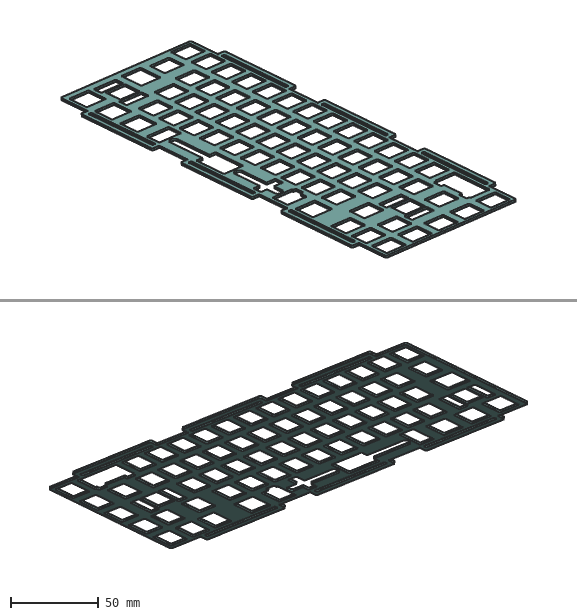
import cadquery as cq

COLUMNS = 16
ROWS = 5
LENGTH = 304.8
PITCH = LENGTH / COLUMNS
DEPTH = ROWS * PITCH
THICKNESS = 1.5
TILT_DEGREES = 7.0
CORNER_RADIUS = 1.0

TAB_LENGTH = 67.0
TAB_SPACING = 93.5
TAB_CENTERS = [-TAB_SPACING, 0, TAB_SPACING]
TAB_SLOT_LENGTH = 60.0
TAB_SLOT_WIDTH = 2.0
TAB_RAIL_WIDTH = 3.0
TAB_REACH = TAB_SLOT_WIDTH + TAB_RAIL_WIDTH

SWITCH_MARGIN = 2.53
SWITCH = PITCH - 2 * SWITCH_MARGIN
OPENING_RADIUS = 0.5
STABILIZER_WIDTH = 7.0
STABILIZER_OVERHANG = 2.0
STABILIZER_HEIGHT = SWITCH + STABILIZER_OVERHANG
STABILIZER_OFFSET = 12.0

SPACE_SLOT_WIDTH = 5.2
SPACE_SLOTS = [(-61.3, -6.0), (-0.5, 42.0)]
SPACE_ROW_INDEX = ROWS - 1

NUMBER_ROW = [column + 0.5 for column in range(13)] + [(13.5, 14.5), 15.5]
TAB_ROW = [0.75] + [column + 2.0 for column in range(12)] + [14.25, 15.5]
HOME_ROW = [(0.625, 0.875)] + [column + 2.25 for column in range(11)] + [13.875, 15.5]
SHIFT_ROW = [1.125] + [column + 2.75 for column in range(10)] + [13.125, 14.5, 15.5]
SPACE_KEY = (6.875, 7.5)
SPACE_ROW = [
    (0.625, 0.75),
    (1.875, 2.0),
    (3.125, 3.25),
    SPACE_KEY,
    10.625,
    (11.75, 11.875),
    13.5,
    14.5,
    15.5,
]
KEY_ROWS = [NUMBER_ROW, TAB_ROW, HOME_ROW, SHIFT_ROW, SPACE_ROW]

STABILIZED_KEYS = [(0, 14.0), (2, 13.875), (3, 1.125)]

SPACE_STABILIZERS = [(4.25, 4.5), 9.5, 10.5]


def key_x(column):
    return column * PITCH - LENGTH / 2


def row_y(row):
    return ((ROWS - 1) / 2 - row) * PITCH


def opening_block(x_min, x_max, y_min, y_max):
    """Full-thickness opening with rounded corners between the given plan limits."""
    plan = cq.Workplane("XY").center((x_min + x_max) / 2, (y_min + y_max) / 2)
    blank = plan.rect(x_max - x_min, y_max - y_min).extrude(THICKNESS)
    return blank.edges("|Z").fillet(OPENING_RADIUS)


def key_block(key, width, y_min, y_max):
    """Opening of the given width, stretched to cover every centre in the key's range."""
    first, last = key if isinstance(key, tuple) else (key, key)
    return opening_block(key_x(first) - width / 2, key_x(last) + width / 2, y_min, y_max)


def space_slot(x_min, x_max):
    """Round-ended slot along the middle of the space bar row."""
    length = x_max - x_min
    return (
        cq.Workplane("XY")
        .center((x_min + x_max) / 2, row_y(SPACE_ROW_INDEX))
        .slot2D(length, SPACE_SLOT_WIDTH)
        .extrude(THICKNESS)
    )


def make_blank():
    plate = cq.Workplane("XY").rect(LENGTH, DEPTH).extrude(THICKNESS)
    plate = plate.edges("|Z").fillet(CORNER_RADIUS)
    tab_depth = DEPTH + 2 * TAB_REACH
    for x in TAB_CENTERS:
        tab = cq.Workplane("XY").center(x, 0).rect(TAB_LENGTH, tab_depth)
        plate = plate.union(tab.extrude(THICKNESS).edges("|Z").fillet(CORNER_RADIUS))
    return plate


def tab_slots():
    slots = []
    half = TAB_SLOT_LENGTH / 2
    half_width = TAB_SLOT_WIDTH / 2
    for x in TAB_CENTERS:
        for side in (-1, 1):
            slot_y = side * (DEPTH + TAB_SLOT_WIDTH) / 2
            slots.append(opening_block(x - half, x + half, slot_y - half_width, slot_y + half_width))
    return slots


def switch_openings():
    openings = []
    for row, keys in enumerate(KEY_ROWS):
        y = row_y(row)
        openings += [key_block(key, SWITCH, y - SWITCH / 2, y + SWITCH / 2) for key in keys]
    return openings


def stabilizer_openings():
    openings = []
    for row, column in STABILIZED_KEYS:
        y_max = row_y(row) + SWITCH / 2
        for side in (-1, 1):
            x = key_x(column) + side * STABILIZER_OFFSET
            half = STABILIZER_WIDTH / 2
            openings.append(opening_block(x - half, x + half, y_max - STABILIZER_HEIGHT, y_max))
    y_min = row_y(SPACE_ROW_INDEX) - SWITCH / 2
    for key in SPACE_STABILIZERS:
        openings.append(key_block(key, STABILIZER_WIDTH, y_min, y_min + STABILIZER_HEIGHT))
    return openings


def space_slots():
    return [space_slot(x_min, x_max) for x_min, x_max in SPACE_SLOTS]


result = make_blank()
for opening in tab_slots() + switch_openings() + stabilizer_openings() + space_slots():
    result = result.cut(opening)
result = result.rotate((0, 0, 0), (1, 0, 0), TILT_DEGREES)